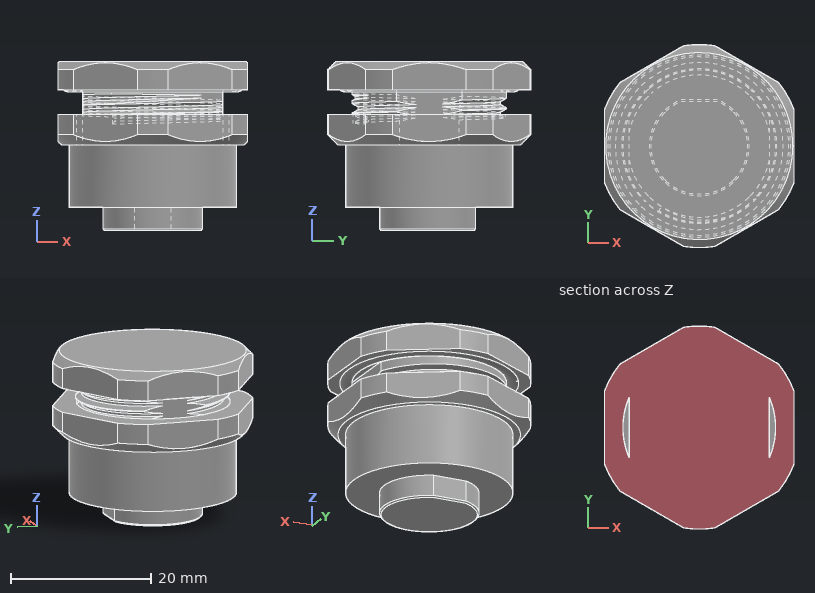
import cadquery as cq
import math

TOTAL_HEIGHT = 24.1
BODY_BOTTOM = 3.3
NUT_BOTTOM = 12.2
NUT_TOP = 16.57
HEAD_BOTTOM = 20.05

PLUG_RADIUS = 7.1
PLUG_FLAT_Y = 6.6
PLUG_CHAMFER = 0.23
BODY_RADIUS = 11.93

ACROSS_FLATS = 27.0
CORNER_RADIUS = 14.48
HEAD_FACE_RADIUS = 13.32
NUT_FACE_RADIUS = 13.0
NUT_BORE_RADIUS = 10.85

SEAL_RADIUS = 12.75
SEAL_HEIGHT = 0.32

ACROSS_NECK_FLATS = 19.98
THREAD_RADIUS = 11.03
THREAD_DEPTH = 0.87
THREAD_PITCH = 1.5
THREAD_FLANK_ANGLE = 30.0
GROOVE_ROOT_WIDTH = 0.4
GROOVE_OVERSHOOT = 0.05
GROOVE_TURNS = 2
RUNOUT_START_ANGLE = 238.0
RUNOUT_SPAN = 75.0
RUNOUT_START_Z = 18.8


def hexagon(bottom, top):
    """Hexagonal prism with flats facing +X and -X and its corners turned round."""
    height = top - bottom
    corner_diameter = ACROSS_FLATS / math.cos(math.radians(30))
    base = cq.Workplane("XY").workplane(offset=bottom)
    prism = base.polygon(6, corner_diameter).extrude(height)
    prism = prism.rotate((0, 0, 0), (0, 0, 1), 30)
    return prism.intersect(base.circle(CORNER_RADIUS).extrude(height))


def chamfer_envelope(bottom, top, face_radius, face):
    """Cylinder around a hexagon with a 45 degree chamfer on one end face."""
    cylinder = cq.Workplane("XY").workplane(offset=bottom).circle(CORNER_RADIUS).extrude(top - bottom)
    return cylinder.faces(face).chamfer(CORNER_RADIUS - face_radius)


def make_plug():
    """Round plug with a flat on the +Y side and a chamfered lower edge."""
    plug = cq.Workplane("XY").circle(PLUG_RADIUS).extrude(BODY_BOTTOM)
    keep = cq.Workplane("XY").box(
        2 * PLUG_RADIUS, PLUG_RADIUS + PLUG_FLAT_Y, BODY_BOTTOM, centered=(True, False, False)
    ).translate((0, -PLUG_RADIUS, 0))
    return plug.intersect(keep).faces("<Z").chamfer(PLUG_CHAMFER)


def make_body():
    height = NUT_BOTTOM - BODY_BOTTOM
    return cq.Workplane("XY").workplane(offset=BODY_BOTTOM).circle(BODY_RADIUS).extrude(height)


def make_nut():
    """Hexagonal nut whose bore leaves a gap beside each flat of the neck."""
    envelope = chamfer_envelope(NUT_BOTTOM, NUT_TOP, NUT_FACE_RADIUS, "<Z")
    base = cq.Workplane("XY").workplane(offset=NUT_BOTTOM)
    bore = base.circle(NUT_BORE_RADIUS).extrude(NUT_TOP - NUT_BOTTOM)
    return hexagon(NUT_BOTTOM, NUT_TOP).intersect(envelope).cut(bore)


def make_head():
    envelope = chamfer_envelope(HEAD_BOTTOM, TOTAL_HEIGHT, HEAD_FACE_RADIUS, ">Z")
    return hexagon(HEAD_BOTTOM, TOTAL_HEIGHT).intersect(envelope)


def make_seal():
    """Ring around the neck that bulges below the head."""
    lowest_point = ((THREAD_RADIUS + SEAL_RADIUS) / 2, HEAD_BOTTOM - SEAL_HEIGHT)
    profile = cq.Workplane("XZ").moveTo(THREAD_RADIUS, HEAD_BOTTOM)
    profile = profile.threePointArc(lowest_point, (SEAL_RADIUS, HEAD_BOTTOM)).close()
    return profile.revolve(360, (0, 0), (0, 1))


def helix_edge(radius, start_z, start_angle, span, radial_growth):
    """Right-handed helix whose radius grows evenly by radial_growth over the span."""
    rise = THREAD_PITCH * span / 360
    cone_angle = math.degrees(math.atan2(radial_growth, rise))
    slant = math.hypot(rise, radial_growth)
    lead = slant * 360 / span
    if radial_growth:
        wire = cq.Wire.makeHelix(lead, slant, radius, angle=cone_angle)
    else:
        wire = cq.Wire.makeHelix(lead, slant, radius)
    edge = wire.Edges()[0]
    edge = edge.rotate(cq.Vector(0, 0, 0), cq.Vector(0, 0, 1), start_angle)
    return edge.translate(cq.Vector(0, 0, start_z))


def groove_cutter(middle_z, start_angle, span, radial_growth=0.0):
    """Solid swept by the trapezoidal groove section along a helix."""
    root_radius = THREAD_RADIUS - THREAD_DEPTH
    mouth_radius = THREAD_RADIUS + GROOVE_OVERSHOOT
    root_half = GROOVE_ROOT_WIDTH / 2
    mouth_half = root_half + (mouth_radius - root_radius) * math.tan(math.radians(THREAD_FLANK_ANGLE))
    section = [
        (root_radius, -root_half),
        (mouth_radius, -mouth_half),
        (mouth_radius, mouth_half),
        (root_radius, root_half),
    ]
    edges = [helix_edge(r, middle_z + dz, start_angle, span, radial_growth) for r, dz in section]
    following = edges[1:] + edges[:1]
    sides = [cq.Face.makeRuledSurface(a, b) for a, b in zip(edges, following)]
    start_cap = cq.Wire.makePolygon([e.startPoint() for e in edges], close=True)
    end_cap = cq.Wire.makePolygon([e.endPoint() for e in edges], close=True)
    caps = [cq.Face.makeFromWires(cap) for cap in (start_cap, end_cap)]
    return cq.Workplane(cq.Solid.makeSolid(cq.Shell.makeShell(sides + caps)))


def make_neck():
    """Threaded neck between the body and the head, flattened at +X and -X."""
    height = HEAD_BOTTOM - NUT_BOTTOM
    base = cq.Workplane("XY").workplane(offset=NUT_BOTTOM)
    neck = base.circle(THREAD_RADIUS).extrude(height)
    full_groove = groove_cutter(
        RUNOUT_START_Z - GROOVE_TURNS * THREAD_PITCH, RUNOUT_START_ANGLE, GROOVE_TURNS * 360
    )
    runout = groove_cutter(
        RUNOUT_START_Z, RUNOUT_START_ANGLE, RUNOUT_SPAN, THREAD_DEPTH + GROOVE_OVERSHOOT
    )
    flats = base.rect(ACROSS_NECK_FLATS, 2 * THREAD_RADIUS).extrude(height)
    return neck.cut(full_groove).cut(runout).intersect(flats)


result = make_plug().union(make_body()).union(make_neck())
result = result.union(make_nut()).union(make_head().union(make_seal()))